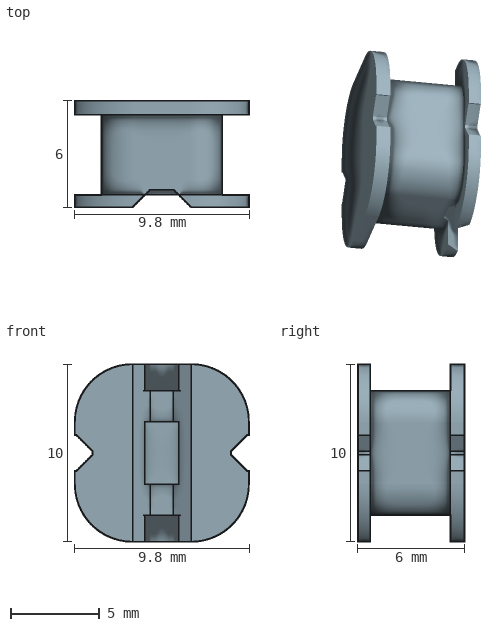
import cadquery as cq

flange_width = 9.8
flange_height = 10.0
total_length = 6.0
flange_corner_radius = 3.25

front_flange_thickness = 0.7
back_flange_thickness = 0.8
flange_overhang = 1.5
core_width = flange_width - 2 * flange_overhang
core_height = flange_height - 2 * flange_overhang
core_corner_radius = flange_corner_radius - flange_overhang

front_y = -total_length / 2
back_y = total_length / 2
core_front_y = front_y + front_flange_thickness
core_back_y = back_y - back_flange_thickness

notch_mouth = 2.0
notch_floor = 0.2
notch_straight = 0.1
notch_depth = notch_straight + (notch_mouth - notch_floor) / 2

groove_depth = 1.0
groove_mouth = flange_width - 2 * flange_corner_radius
groove_floor = groove_mouth - 2 * groove_depth

land_height = core_height / 2


def rounded_plate(width, height, corner_radius, y_start, y_end):
    """Rounded rectangle in XZ, extruded along Y from y_start to y_end."""
    return (
        cq.Workplane("XY")
        .box(width, y_end - y_start, height)
        .edges("|Y")
        .fillet(corner_radius)
        .translate((0, (y_start + y_end) / 2, 0))
    )


def side_notch(side):
    """Cutter for the notch on one side (+1 or -1 along X), through both flanges."""
    edge_x = side * flange_width / 2
    flank_x = edge_x - side * notch_straight
    floor_x = edge_x - side * notch_depth
    return (
        cq.Workplane("XZ", origin=(0, back_y, 0))
        .moveTo(edge_x, -notch_mouth / 2)
        .lineTo(flank_x, -notch_mouth / 2)
        .lineTo(floor_x, -notch_floor / 2)
        .lineTo(floor_x, notch_floor / 2)
        .lineTo(flank_x, notch_mouth / 2)
        .lineTo(edge_x, notch_mouth / 2)
        .close()
        .extrude(total_length)
    )


def front_groove():
    """Trapezoidal groove along Z, shallower where it crosses the central land."""
    floor_y = front_y + groove_depth
    groove = (
        cq.Workplane("XY")
        .moveTo(-groove_mouth / 2, front_y)
        .lineTo(-groove_floor / 2, floor_y)
        .lineTo(groove_floor / 2, floor_y)
        .lineTo(groove_mouth / 2, front_y)
        .close()
        .extrude(flange_height / 2, both=True)
    )
    land = (
        cq.Workplane("XY")
        .box(groove_mouth, groove_depth, land_height)
        .translate((0, core_front_y + groove_depth / 2, 0))
    )
    return groove.cut(land)


core = rounded_plate(core_width, core_height, core_corner_radius, core_front_y, core_back_y)
front_flange = rounded_plate(flange_width, flange_height, flange_corner_radius, front_y, core_front_y)
back_flange = rounded_plate(flange_width, flange_height, flange_corner_radius, core_back_y, back_y)

result = core.union(front_flange).union(back_flange)
for notch_side in (-1, 1):
    result = result.cut(side_notch(notch_side))
result = result.cut(front_groove())